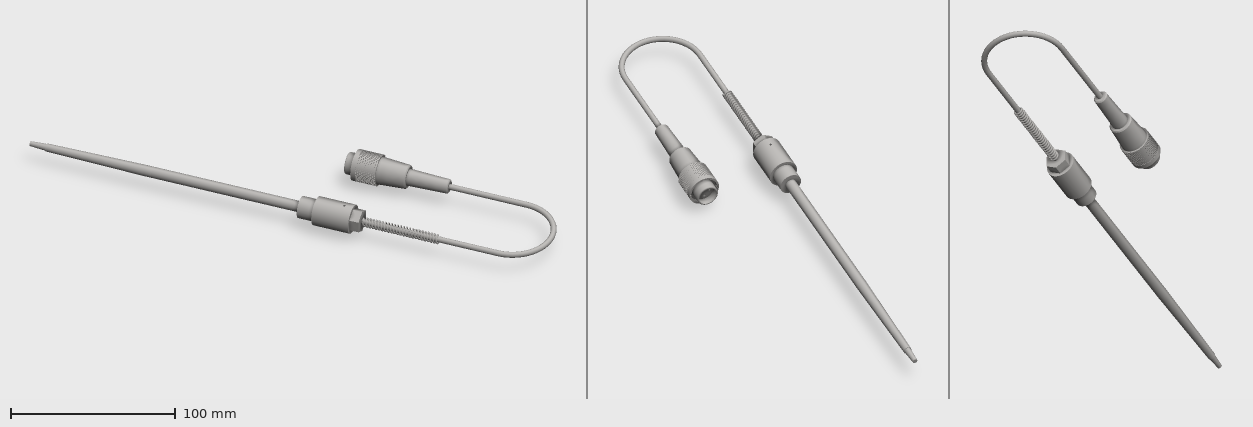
import cadquery as cq
import math

OVERALL_LENGTH = 329.7
PLUG_Y = 49.95

TIP_LENGTH = 10.5
TIP_FRONT_DIA = 3.0
TIP_REAR_DIA = 4.3
SLEEVE_FRONT_DIA = 5.0
SLEEVE_END_X = 74.5
BAND_LENGTH = 5.0
TUBE_DIA = 7.0

COLLAR_X = 175.0
COLLAR_DIA = 14.0
GRIP_X = 185.3
GRIP_END_X = 209.0
GRIP_DIA = 18.0
MARK_X = 203.5
MARK_DIA = 1.5
MARK_DEPTH = 1.5

NUT_END_X = 215.0
NUT_ACROSS_FLATS = 13.0

SPRING_END_X = 265.5
SPRING_DIA = 6.3
SPRING_PITCH = 2.0
WIRE_DIA = 1.0

CABLE_DIA = 3.5

NOSE_X = 187.0
NOSE_DIA = 14.0
NOSE_FILLET = 0.5
SOCKET_DIA = 12.0
SOCKET_DEPTH = 5.0
CONTACT_COUNT = 4
CONTACT_DIA = 1.5
CONTACT_DEPTH = 3.3
CONTACT_CIRCLE_DIA = 7.0

RING_X = 192.2
RING_END_X = 208.0
RING_DIA = 19.8
RECESS_DIA = 17.0
RECESS_DEPTH = 2.5
KEYWAY_COUNT = 4
KEYWAY_WIDTH = 1.5
KEYWAY_OUTER_DIA = 18.5
KNURL_X = 195.2
KNURL_COUNT = 60
KNURL_WIDTH = 0.5
KNURL_DEPTH = 0.3
KNURL_PHASE = 180 / KNURL_COUNT

SHELL_FRONT_DIA = 17.0
SHELL_REAR_DIA = 15.0
SHELL_END_X = 226.5
BOOT_FRONT_DIA = 10.5
BOOT_REAR_DIA = 9.0
BOOT_END_X = 253.0
REAR_CHAMFER = 0.5


def rod(x_start, length, diameter, y=0.0):
    """Cylinder along +X."""
    return cq.Workplane("YZ", origin=(x_start, y, 0)).circle(diameter / 2).extrude(length)


def cone(x_start, x_end, start_dia, end_dia, y=0.0):
    """Truncated cone along +X."""
    base = cq.Vector(x_start, y, 0)
    axis = cq.Vector(1, 0, 0)
    return cq.Workplane(obj=cq.Solid.makeCone(start_dia / 2, end_dia / 2, x_end - x_start, base, axis))


def make_handle():
    collar = rod(COLLAR_X, GRIP_X - COLLAR_X, COLLAR_DIA)
    grip = rod(GRIP_X, GRIP_END_X - GRIP_X, GRIP_DIA)
    mark_floor = GRIP_DIA / 2 - MARK_DEPTH
    mark = cq.Workplane("XY", origin=(MARK_X, 0, mark_floor)).circle(MARK_DIA / 2).extrude(GRIP_DIA)
    return collar.union(grip).cut(mark)


def make_nut():
    """Hexagon with corners at top and bottom."""
    across_corners = NUT_ACROSS_FLATS / math.cos(math.pi / 6)
    return (
        cq.Workplane("YZ", origin=(GRIP_END_X, 0, 0))
        .transformed(rotate=(0, 0, 90))
        .polygon(6, across_corners)
        .extrude(NUT_END_X - GRIP_END_X)
    )


def make_spring():
    """Round wire swept along a helix, clear of the nut by the wire radius."""
    start_x = NUT_END_X + WIRE_DIA
    coil_length = SPRING_END_X - WIRE_DIA / 2 - start_x
    coil_radius = (SPRING_DIA - WIRE_DIA) / 2
    helix = cq.Wire.makeHelix(
        SPRING_PITCH, coil_length, coil_radius, cq.Vector(start_x, 0, 0), cq.Vector(1, 0, 0)
    )
    wire_end = cq.Plane(helix.positionAt(0), normal=helix.tangentAt(0))
    return cq.Workplane(wire_end).circle(WIRE_DIA / 2).sweep(cq.Workplane(obj=helix), isFrenet=True)


def make_cable():
    """From the nut, straight, half circle, straight back to the boot."""
    bend_radius = PLUG_Y / 2
    bend_x = OVERALL_LENGTH - CABLE_DIA / 2 - bend_radius
    path = (
        cq.Workplane("XY")
        .moveTo(NUT_END_X, 0)
        .lineTo(bend_x, 0)
        .threePointArc((bend_x + bend_radius, bend_radius), (bend_x, PLUG_Y))
        .lineTo(BOOT_END_X, PLUG_Y)
    )
    return cq.Workplane("YZ", origin=(NUT_END_X, 0, 0)).circle(CABLE_DIA / 2).sweep(path)


def make_nose():
    """Round nose with a socket that has a circle of contact holes in its floor."""
    floor_x = NOSE_X + SOCKET_DEPTH
    contacts = (
        cq.Workplane("YZ", origin=(floor_x, PLUG_Y, 0))
        .polarArray(CONTACT_CIRCLE_DIA / 2, 0, 360, CONTACT_COUNT)
        .circle(CONTACT_DIA / 2)
        .extrude(CONTACT_DEPTH)
    )
    nose = rod(NOSE_X, RING_X + RECESS_DEPTH - NOSE_X, NOSE_DIA, PLUG_Y)
    nose = nose.faces("<X").edges().fillet(NOSE_FILLET)
    return nose.cut(rod(NOSE_X, SOCKET_DEPTH, SOCKET_DIA, PLUG_Y)).cut(contacts)


def make_ring():
    """Ring with a recessed front and straight knurling."""
    recess = rod(RING_X, RECESS_DEPTH, RECESS_DIA, PLUG_Y)
    keyways = (
        cq.Workplane("YZ", origin=(RING_X, PLUG_Y, 0))
        .polarArray(KEYWAY_OUTER_DIA / 4, 0, 360, KEYWAY_COUNT)
        .rect(KEYWAY_OUTER_DIA / 2, KEYWAY_WIDTH)
        .extrude(RECESS_DEPTH)
    )
    grooves = (
        cq.Workplane("YZ", origin=(KNURL_X, PLUG_Y, 0))
        .polarArray(RING_DIA / 2, KNURL_PHASE, 360, KNURL_COUNT)
        .rect(2 * KNURL_DEPTH, KNURL_WIDTH)
        .extrude(RING_END_X - KNURL_X)
    )
    return rod(RING_X, RING_END_X - RING_X, RING_DIA, PLUG_Y).cut(recess).cut(keyways).cut(grooves)


def make_plug():
    shell = cone(RING_END_X, SHELL_END_X, SHELL_FRONT_DIA, SHELL_REAR_DIA, PLUG_Y)
    boot = cone(SHELL_END_X, BOOT_END_X, BOOT_FRONT_DIA, BOOT_REAR_DIA, PLUG_Y)
    shell = shell.faces(">X").edges().chamfer(REAR_CHAMFER)
    boot = boot.faces(">X").edges().chamfer(REAR_CHAMFER)
    return make_ring().union(make_nose()).union(shell).union(boot)


band_end_x = SLEEVE_END_X + BAND_LENGTH
tip = cone(0, TIP_LENGTH, TIP_FRONT_DIA, TIP_REAR_DIA)
sleeve = cone(TIP_LENGTH, SLEEVE_END_X, SLEEVE_FRONT_DIA, TUBE_DIA)
band = rod(SLEEVE_END_X, BAND_LENGTH, TUBE_DIA)
tube = rod(band_end_x, COLLAR_X - band_end_x, TUBE_DIA)
handle = make_handle()
nut = make_nut()
spring = make_spring()
cable = make_cable()
plug = make_plug()

result = cq.Compound.makeCompound(
    [
        tip.val(),
        sleeve.val(),
        band.val(),
        tube.val(),
        handle.val(),
        nut.val(),
        spring.val(),
        cable.val(),
        plug.val(),
    ]
)